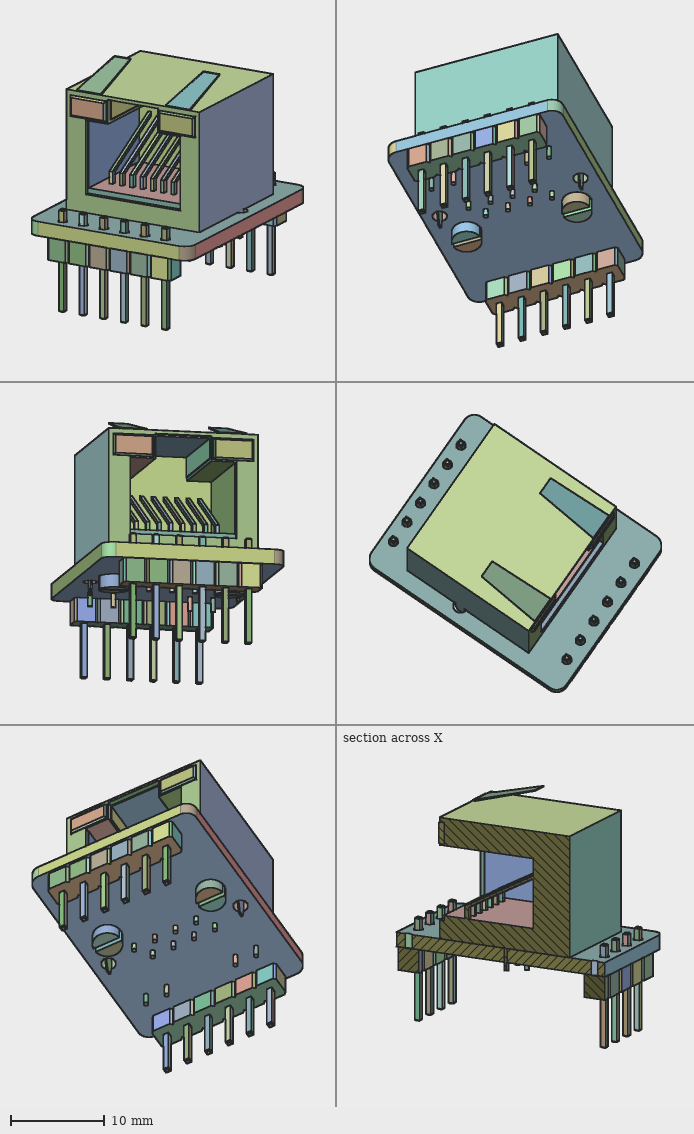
import cadquery as cq


overall_height = 25.75
pin_pitch = 2.55

board_width = 20.08
board_length = 25.4
board_thickness = 1.62
board_corner_radius = 1.29
board_bottom = -board_thickness

jack_width = 16.47
jack_front = -7.41
jack_back = 8.45
jack_height = 13.51

lip_thickness = 0.51
mouth_width = 11.75
mouth_bottom = 2.05
shelf_height = 10.4
mouth_notch_width = 6.18
mouth_notch_top = 13.13
cavity_width = 11.55
cavity_floor = 2.65
cavity_notch_width = 5.97
cavity_notch_top = 12.95
cavity_notch_ledge = 10.75
cavity_back = 3.95

contact_count = 8
contact_pitch = pin_pitch / 2
contact_width = 0.39
contact_leg_depth = 0.57
contact_slope_height = 0.4
contact_front = -4.4
contact_bend_height = 4.05
contact_top = 8.52

side_spacing = 11.02
light_width = 4.43
light_height = 2.37
light_bottom = 10.58
light_proud = 0.25
light_chamfer = 0.2
light_recess_depth = 0.51
spring_base_width = 2.99
spring_tip_width = 2.0
spring_tip_y = -0.08
spring_top = 15.55
spring_thickness = 0.1
spring_setback = 0.05
spring_foot = 0.3

post_diameter = 3.25
post_spacing = 12.72
post_y = -1.83
post_slot_width = 0.5
post_reach = 1.42
post_bottom = board_bottom - post_reach
tab_thickness = 0.18
tab_width = 1.1
tab_tip_width = 0.62
tab_y = 1.55
tab_hole_diameter = 1.57
tab_hole_spacing = 16.27
lead_diameter = 0.5
light_lead_y = 7.3
light_lead_reach = 1.5
light_lead_bottom = board_bottom - light_lead_reach
signal_lead_rows = (0.62, 2.42)
signal_lead_reach = 0.9
signal_lead_bottom = board_bottom - signal_lead_reach

header_pin_count = 6
header_height = 2.6
header_chamfer = 0.25
header_centre_x = -0.13
header_rows = (-11.2, 11.43)
header_pin_width = 0.62
header_pin_chamfer = 0.13
header_pin_top = 1.35
header_pin_bottom = spring_top - overall_height
header_hole_diameter = 1.0


def centred_positions(count, pitch):
    """Evenly pitched coordinates, centred on zero."""
    return [(i - (count - 1) / 2) * pitch for i in range(count)]


def block(x_range, y_range, z_range):
    """Box between two corners, given as a range along each axis."""
    size = [high - low for low, high in (x_range, y_range, z_range)]
    corner = (x_range[0], y_range[0], z_range[0])
    return cq.Workplane("XY").box(*size, centered=False).translate(corner)


def centred_block(width, y_range, z_range):
    """Box that is centred on X = 0."""
    return block((-width / 2, width / 2), y_range, z_range)


def cylinders(points, diameter, bottom, top):
    """Vertical cylinders at the given XY points."""
    plane = cq.Workplane("XY").workplane(offset=bottom)
    return plane.pushPoints(points).circle(diameter / 2).extrude(top - bottom)


sides = centred_positions(2, side_spacing)
contact_xs = centred_positions(contact_count, contact_pitch)
header_pin_xs = [header_centre_x + x for x in centred_positions(header_pin_count, pin_pitch)]

header_points = [(x, y) for y in header_rows for x in header_pin_xs]
post_points = [(x, post_y) for x in centred_positions(2, post_spacing)]
tab_hole_points = [(x, tab_y) for x in centred_positions(2, tab_hole_spacing)]
signal_lead_points = [(x, signal_lead_rows[i % 2]) for i, x in enumerate(contact_xs)]
light_lead_points = [
    (side + offset, light_lead_y) for side in sides for offset in centred_positions(2, pin_pitch)
]


def make_board():
    board = (
        cq.Workplane("XY")
        .workplane(offset=board_bottom)
        .rect(board_width, board_length)
        .extrude(board_thickness)
        .edges("|Z")
        .fillet(board_corner_radius)
    )
    for points, diameter in (
        (header_points, header_hole_diameter),
        (post_points, post_diameter),
        (tab_hole_points, tab_hole_diameter),
        (signal_lead_points + light_lead_points, lead_diameter),
    ):
        board = board.cut(cylinders(points, diameter, board_bottom, 0))
    return board


def make_plug_opening():
    """Space for the plug: the mouth through the lip, then the stepped cavity behind it."""
    lip_range = (jack_front, jack_front + lip_thickness)
    cavity_range = (jack_front + lip_thickness, cavity_back)
    return (
        centred_block(mouth_width, lip_range, (mouth_bottom, shelf_height))
        .union(centred_block(mouth_notch_width, lip_range, (shelf_height, mouth_notch_top)))
        .union(centred_block(cavity_width, cavity_range, (cavity_floor, shelf_height)))
        .union(centred_block(mouth_notch_width, cavity_range, (shelf_height, cavity_notch_ledge)))
        .union(centred_block(cavity_notch_width, cavity_range, (cavity_notch_ledge, cavity_notch_top)))
    )


def make_contact(x):
    """Bent strip: a leg standing on the cavity floor, then a slope up to the back wall."""
    slope = (contact_top - contact_bend_height) / (cavity_back - contact_front)
    leg_back = contact_front + contact_leg_depth
    leg_top = contact_bend_height + slope * contact_leg_depth - contact_slope_height
    return (
        cq.Workplane("YZ", origin=(x - contact_width / 2, 0, 0))
        .polyline(
            [
                (contact_front, cavity_floor),
                (contact_front, contact_bend_height),
                (cavity_back, contact_top),
                (cavity_back, contact_top - contact_slope_height),
                (leg_back, leg_top),
                (leg_back, cavity_floor),
            ]
        )
        .close()
        .extrude(contact_width)
    )


def make_spring(x):
    """Tapered shield spring that leans back from just behind the top front edge of the housing."""
    base_z = jack_height
    base_y = jack_front + spring_setback
    side_view = (
        cq.Workplane("YZ", origin=(x - spring_base_width / 2, 0, 0))
        .polyline(
            [
                (base_y, base_z),
                (base_y, base_z + spring_thickness),
                (spring_tip_y, spring_top),
                (spring_tip_y, spring_top - spring_thickness),
                (base_y + spring_foot, base_z),
            ]
        )
        .close()
        .extrude(spring_base_width)
    )
    outline = (
        cq.Workplane("XY", origin=(x, 0, base_z))
        .polyline(
            [
                (-spring_base_width / 2, base_y),
                (spring_base_width / 2, base_y),
                (spring_tip_width / 2, spring_tip_y),
                (-spring_tip_width / 2, spring_tip_y),
            ]
        )
        .close()
        .extrude(spring_top - base_z)
    )
    return side_view.intersect(outline)


def make_posts():
    """Round snap posts, each split by a slot along X."""
    posts = cylinders(post_points, post_diameter, post_bottom, 0)
    slot_range = (post_y - post_slot_width / 2, post_y + post_slot_width / 2)
    return posts.cut(centred_block(jack_width, slot_range, (post_bottom, 0)))


def make_tab(outer_x, inward):
    """Shield tab flush with a side wall, tapering below the board."""
    return (
        cq.Workplane("YZ", origin=(outer_x, 0, 0))
        .polyline(
            [
                (tab_y - tab_width / 2, 0),
                (tab_y + tab_width / 2, 0),
                (tab_y + tab_width / 2, board_bottom),
                (tab_y + tab_tip_width / 2, post_bottom),
                (tab_y - tab_tip_width / 2, post_bottom),
                (tab_y - tab_width / 2, board_bottom),
            ]
        )
        .close()
        .extrude(inward * tab_thickness)
    )


def light_block(x, front):
    """Block of one light's outline, from the given front plane to the recess floor."""
    return block(
        (x - light_width / 2, x + light_width / 2),
        (front, jack_front + light_recess_depth),
        (light_bottom, light_bottom + light_height),
    )


def make_jack():
    jack = centred_block(jack_width, (jack_front, jack_back), (0, jack_height))
    jack = jack.cut(make_plug_opening())
    for x in sides:
        jack = jack.cut(light_block(x, jack_front))
        jack = jack.union(make_spring(x))
    for x in contact_xs:
        jack = jack.union(make_contact(x))
    jack = jack.union(make_posts())
    jack = jack.union(make_tab(-jack_width / 2, 1))
    jack = jack.union(make_tab(jack_width / 2, -1))
    jack = jack.union(cylinders(signal_lead_points, lead_diameter, signal_lead_bottom, 0))
    return jack.union(cylinders(light_lead_points, lead_diameter, light_lead_bottom, 0))


def make_light(x):
    """Indicator light with a chamfered rim standing proud of the housing."""
    return light_block(x, jack_front - light_proud).faces("<Y").chamfer(light_chamfer)


def make_header(y):
    """Row of joined insulator cells with a square pin through each."""
    header = cq.Workplane("XY")
    for x in header_pin_xs:
        cell = (
            cq.Workplane("XY", origin=(x, y, board_bottom - header_height))
            .rect(pin_pitch, pin_pitch)
            .extrude(header_height)
            .edges("|Z")
            .chamfer(header_chamfer)
        )
        pin = (
            cq.Workplane("XY", origin=(x, y, header_pin_bottom))
            .rect(header_pin_width, header_pin_width)
            .extrude(header_pin_top - header_pin_bottom)
            .faces("<Z or >Z")
            .chamfer(header_pin_chamfer)
        )
        header = header.union(cell).union(pin)
    return header


board = make_board()
jack = make_jack()
lights = [make_light(x) for x in sides]
headers = [make_header(y) for y in header_rows]

result = cq.Compound.makeCompound(
    [board.val(), jack.val(), *[light.val() for light in lights], *[header.val() for header in headers]]
)